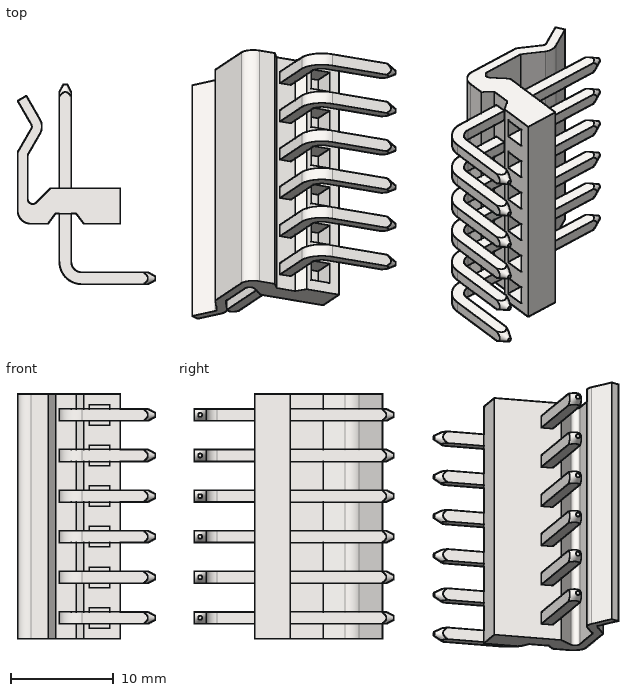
import cadquery as cq
import math


pin_count = 6
pin_pitch = 3.96
pin_width = 1.18
pin_bend_radius = 2.22
pin_top = 13.6
pin_bottom = -5.9
pin_reach = 8.8
tip_length = 1.19
tip_end_radius = 0.2

housing_length = 23.9
wall_x = -4.66
housing_width = 10.03
block_x = wall_x + housing_width
block_height = 3.48
outer_corner_radius = 1.3

groove_left = -1.68
groove_right = 1.81
groove_depth = 1.0
groove_floor_left = -0.95
groove_floor_right = 1.05

wall_thickness = 1.0
ramp_top_x = -1.45
root_radius = 0.48
lean_angle = math.radians(30)
lean_start_y = 6.98
latch_rise = 2.51
latch_inner_radius = 0.38

opening_size = 2.0
opening_x = 3.33
opening_depth = 2.5


def make_housing():
    """Housing profile extruded along the row, with its round corners."""
    wall_inner_x = wall_x + wall_thickness
    lean_inner_y = lean_start_y - wall_thickness * math.tan(lean_angle / 2)
    latch_x = wall_x + latch_rise * math.tan(lean_angle)
    latch_y = lean_start_y + latch_rise
    latch_outer_x = latch_x + wall_thickness / math.cos(lean_angle)
    wall_end_y = latch_y + latch_rise
    wall_end_x = wall_x + wall_thickness * math.cos(lean_angle)
    wall_peak_y = wall_end_y + wall_thickness * math.sin(lean_angle)
    root_y = block_height - (ramp_top_x - wall_inner_x)

    outer_corner = (wall_x, 0)
    root_corner = (wall_inner_x, root_y)
    latch_hollow = (latch_x, latch_y)
    latch_crest = (latch_outer_x, latch_y)
    outline = [
        outer_corner,
        (groove_left, 0),
        (groove_floor_left, groove_depth),
        (groove_floor_right, groove_depth),
        (groove_right, 0),
        (block_x, 0),
        (block_x, block_height),
        (ramp_top_x, block_height),
        root_corner,
        (wall_inner_x, lean_inner_y),
        latch_crest,
        (wall_end_x, wall_peak_y),
        (wall_x, wall_end_y),
        latch_hollow,
        (wall_x, lean_start_y),
    ]
    housing = cq.Workplane("XY").polyline(outline).close().extrude(housing_length / 2, both=True)

    corner_radii = [
        (outer_corner, outer_corner_radius),
        (root_corner, root_radius),
        (latch_hollow, latch_inner_radius),
        (latch_crest, latch_inner_radius + wall_thickness),
    ]
    for (x, y), radius in corner_radii:
        corner_edge = cq.selectors.NearestToPointSelector((x, y, 0))
        housing = housing.edges("|Z").edges(corner_edge).fillet(radius)
    return housing


def pin_heights():
    """Z of each pin, centred on the row."""
    return [(i - (pin_count - 1) / 2) * pin_pitch for i in range(pin_count)]


def cut_openings(housing):
    """Square blind openings in the underside of the block, one beside each pin."""
    for z in pin_heights():
        opening = cq.Workplane("XY").box(opening_size, opening_depth, opening_size)
        housing = housing.cut(opening.translate((opening_x, opening_depth / 2, z)))
    return housing


def taper_tip(pin, tip, direction):
    """Trim a square pin end to a blunt cone ending at the tip point."""
    base_radius = pin_width / math.sqrt(2)
    axis = cq.Vector(*direction)
    base = cq.Vector(*tip) - axis * tip_length
    block_size = 2 * tip_length
    end_block = cq.Workplane("XY").box(block_size, block_size, block_size)
    end_block = end_block.translate(tip)
    cone = cq.Solid.makeCone(base_radius, tip_end_radius, tip_length, base, axis)
    return pin.cut(end_block.cut(cq.Workplane(cone)))


def make_pin():
    """One square pin, bent from Y to X, with both ends tapered."""
    half = pin_width / 2
    arm_top = pin_bottom + pin_width
    outline = [
        (-half, pin_bottom),
        (pin_reach, pin_bottom),
        (pin_reach, arm_top),
        (half, arm_top),
        (half, pin_top),
        (-half, pin_top),
    ]
    pin = cq.Workplane("XY").polyline(outline).close().extrude(half, both=True)
    outer_bend = cq.selectors.NearestToPointSelector((-half, pin_bottom, 0))
    inner_bend = cq.selectors.NearestToPointSelector((half, arm_top, 0))
    pin = pin.edges("|Z").edges(outer_bend).fillet(pin_bend_radius)
    pin = pin.edges("|Z").edges(inner_bend).fillet(pin_bend_radius - pin_width)

    pin = taper_tip(pin, (0, pin_top, 0), (0, 1, 0))
    return taper_tip(pin, (pin_reach, pin_bottom + half, 0), (1, 0, 0))


result = cut_openings(make_housing())
single_pin = make_pin()
for pin_z in pin_heights():
    result = result.union(single_pin.translate((0, 0, pin_z)))